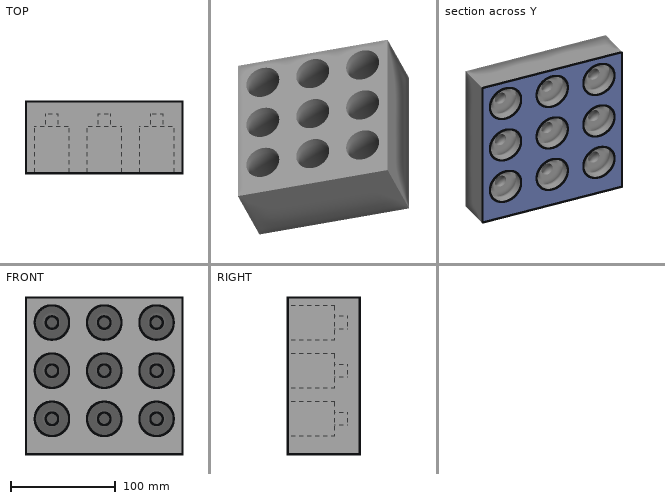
import cadquery as cq

width = 150.0
depth = 69.0
height = 150.0

columns = 3
rows = 3
column_pitch = width / columns
row_pitch = 46.0
grid_rise = 5.0

bore_diameter = 33.0
bore_depth = 45.0
pilot_diameter = 12.0
pilot_depth = 12.0


def front_bores(diameter, start, length):
    """Cylinders on the hole grid, starting at a distance behind the front face."""
    return (
        cq.Workplane("XZ", origin=(0, start - depth / 2, grid_rise))
        .rarray(column_pitch, row_pitch, columns, rows)
        .circle(diameter / 2)
        .extrude(-length)
    )


block = cq.Workplane("XY").box(width, depth, height)
wide_bores = front_bores(bore_diameter, 0, bore_depth)
pilot_bores = front_bores(pilot_diameter, bore_depth, pilot_depth)

result = block.cut(wide_bores).cut(pilot_bores)